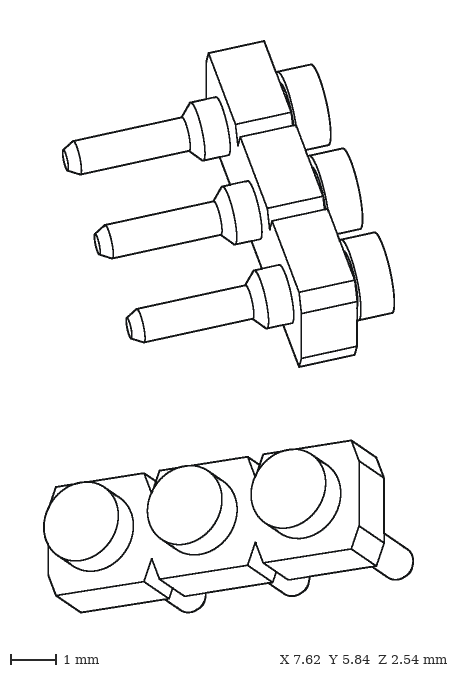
import cadquery as cq

contact_count = 3
housing_length = 7.62
pitch = housing_length / contact_count
housing_height = pitch
housing_depth = 1.28

notch_depth = 0.51
notch_half_width = 0.19

head_diameter = 1.83
sleeve_diameter = 1.32
pin_diameter = 0.76
tip_diameter = 0.47

contact_length = 5.84
head_length = 0.77
neck_length = 0.19
sleeve_length = 0.58
shoulder_length = 0.26
tip_length = 0.26

head_back = housing_depth + neck_length + head_length
head_front = housing_depth + neck_length
tip_end = head_back - contact_length
sleeve_end = -sleeve_length
shoulder_end = sleeve_end - shoulder_length
tip_start = tip_end + tip_length

contact_positions = [(i - (contact_count - 1) / 2) * pitch for i in range(contact_count)]


def make_cell(x):
    """One octagonal housing cell with the bore that holds a contact."""
    half_width = pitch / 2
    half_height = housing_height / 2
    flat_half_width = half_width - notch_half_width
    side_half_height = half_height - notch_depth
    return (
        cq.Workplane("XZ", origin=(x, 0, 0))
        .polyline([
            (-flat_half_width, half_height),
            (flat_half_width, half_height),
            (half_width, side_half_height),
            (half_width, -side_half_height),
            (flat_half_width, -half_height),
            (-flat_half_width, -half_height),
            (-half_width, -side_half_height),
            (-half_width, side_half_height),
        ])
        .close()
        .circle(sleeve_diameter / 2)
        .extrude(-housing_depth)
    )


def make_housing():
    """Row of cells joined into a single insulator."""
    housing = make_cell(contact_positions[0])
    for x in contact_positions[1:]:
        housing = housing.union(make_cell(x))
    return housing.clean()


def make_contact(x):
    """Turned contact: head, sleeve, conical shoulder, pin and tapered tip."""
    profile = [
        (0, head_back),
        (head_diameter / 2, head_back),
        (head_diameter / 2, head_front),
        (sleeve_diameter / 2, head_front),
        (sleeve_diameter / 2, sleeve_end),
        (pin_diameter / 2, shoulder_end),
        (pin_diameter / 2, tip_start),
        (tip_diameter / 2, tip_end),
        (0, tip_end),
    ]
    contact = cq.Workplane("XY").polyline(profile).close().revolve(360, (0, 0), (0, 1))
    return contact.translate((x, 0, 0))


housing = make_housing()
contacts = [make_contact(x) for x in contact_positions]

result = cq.Compound.makeCompound([housing.val(), *[contact.val() for contact in contacts]])